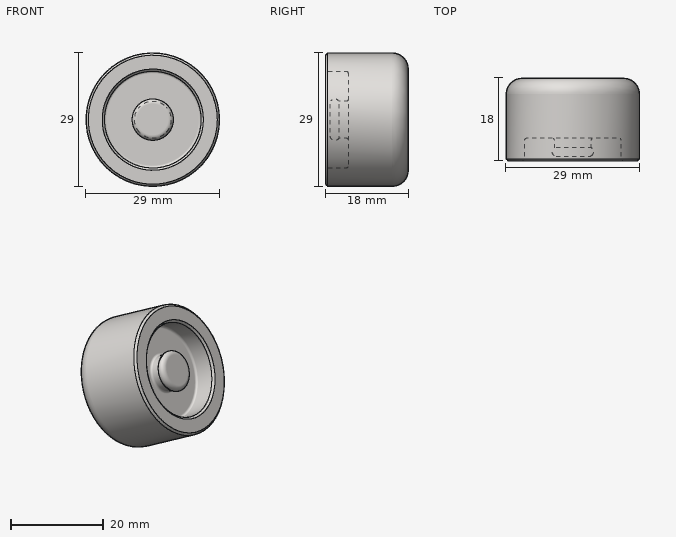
import cadquery as cq

body_diameter = 29.0
body_length = 18.0
back_fillet = 3.5
edge_break = 0.5

pocket_diameter = 21.0
pocket_depth = 5.0

button_height = 4.0
head_diameter = 9.0
head_edge_radius = 1.07
neck_diameter = 8.0
neck_fillet = 0.5

head_start = pocket_depth - button_height
head_face_radius = head_diameter / 2 - head_edge_radius
head_thickness = 2 * head_edge_radius


def disc(diameter, length, start):
    """Cylinder along +Y whose first face lies at Y = start."""
    plane = cq.Workplane("XZ", origin=(0, start, 0))
    return plane.circle(diameter / 2).extrude(-length)


def make_shell():
    """Outer body with the round pocket in its open face."""
    body = disc(body_diameter, body_length, 0)
    body = body.faces(">Y").edges().fillet(back_fillet)
    pocket = disc(pocket_diameter, pocket_depth, 0)
    pocket = pocket.faces(">Y").edges().fillet(edge_break)
    return body.cut(pocket).faces("<Y").edges().chamfer(edge_break)


def make_neck():
    """Neck from the middle of the head to the floor, flared by a fillet at its foot."""
    neck_radius = neck_diameter / 2
    foot_radius = neck_radius + neck_fillet
    fillet_start = pocket_depth - neck_fillet
    return (
        cq.Workplane("XY")
        .moveTo(0, head_start + head_edge_radius)
        .lineTo(neck_radius, head_start + head_edge_radius)
        .lineTo(neck_radius, fillet_start)
        .radiusArc((foot_radius, pocket_depth), neck_fillet)
        .lineTo(0, pocket_depth)
        .close()
        .revolve(360, (0, 0, 0), (0, 1, 0))
    )


def make_head():
    """Button head whose rim is a full half round."""
    return (
        cq.Workplane("XY")
        .moveTo(0, head_start)
        .lineTo(head_face_radius, head_start)
        .threePointArc(
            (head_diameter / 2, head_start + head_edge_radius),
            (head_face_radius, head_start + head_thickness),
        )
        .lineTo(0, head_start + head_thickness)
        .close()
        .revolve(360, (0, 0, 0), (0, 1, 0))
    )


result = make_shell().union(make_neck()).union(make_head())